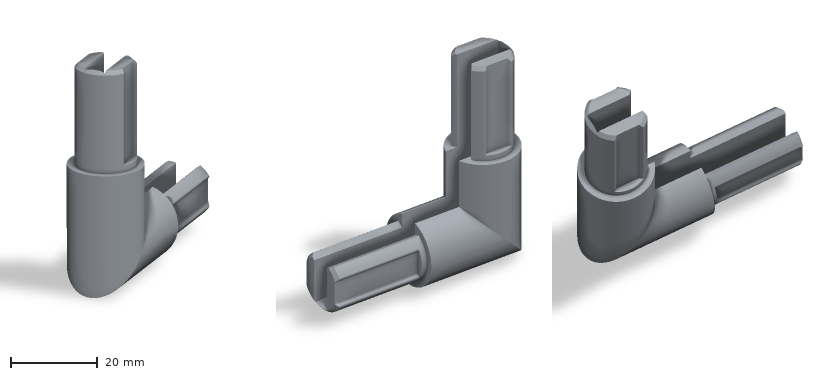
import cadquery as cq
import math

overall = 55.0
collar_diameter = 18.0
spigot_diameter = 14.6
spigot_length = 24.95
tip_chamfer = 0.9

groove_end_gap = 1.5
groove_floor = 5.55
groove_flat_half = 2.75
groove_bevel_half = 3.1
groove_bevel_rise = 0.1
groove_mouth_half = 4.0
groove_round_radius = 0.5
groove_wall_angle = 45.0

slot_width = 5.15
slot_floor = 6.3

steep_outer_x = 3.95
steep_inner_height = 4.95
shallow_outer_x = 4.05
shallow_inner_height = 5.45

collar_radius = collar_diameter / 2
spigot_radius = spigot_diameter / 2
tip = overall - collar_radius
collar_face = tip - spigot_length
margin = 2.75


def mitred_collar():
    """Collar along Z, cut off at the mitre plane z = y."""
    above_mitre = (
        cq.Workplane("YZ")
        .polyline([
            (-collar_radius, -collar_radius),
            (collar_radius, collar_radius),
            (collar_radius, collar_face),
            (-collar_radius, collar_face),
        ])
        .close()
        .extrude(collar_radius, both=True)
    )
    cylinder = (
        cq.Workplane("XY", origin=(0, 0, -collar_radius))
        .circle(collar_radius)
        .extrude(collar_face + collar_radius)
    )
    return cylinder.intersect(above_mitre)


def flank_groove(side):
    """Groove with bevelled walls and rounded lips; side is +1 or -1 along X."""
    mouth_angle = math.asin(groove_mouth_half / spigot_radius)
    wall_angle = math.radians(groove_wall_angle)
    center_distance = spigot_radius - groove_round_radius
    center_x = center_distance * math.cos(mouth_angle)
    center_y = center_distance * math.sin(mouth_angle)

    def on_round(angle):
        x = center_x + groove_round_radius * math.cos(angle)
        y = center_y + groove_round_radius * math.sin(angle)
        return x, y

    floor_edge = (groove_floor, groove_flat_half)
    bevel_edge = (groove_floor + groove_bevel_rise, groove_bevel_half)
    round_start = on_round(-wall_angle)
    round_middle = on_round((mouth_angle - wall_angle) / 2)
    mouth = on_round(mouth_angle)
    outside = (spigot_radius + margin, groove_mouth_half + margin)

    def upper(point):
        return side * point[0], point[1]

    def lower(point):
        return side * point[0], -point[1]

    return (
        cq.Workplane("XY", origin=(0, 0, collar_face + groove_end_gap))
        .moveTo(*lower(floor_edge))
        .lineTo(*upper(floor_edge))
        .lineTo(*upper(bevel_edge))
        .lineTo(*upper(round_start))
        .threePointArc(upper(round_middle), upper(mouth))
        .lineTo(*upper(outside))
        .lineTo(*lower(outside))
        .lineTo(*lower(mouth))
        .threePointArc(lower(round_middle), lower(round_start))
        .lineTo(*lower(bevel_edge))
        .close()
        .extrude(spigot_length)
    )


def slot_bevel(side, outer_x, inner_height):
    """Wedge between a slot wall and the spigot surface, above the bevel plane."""
    inner_x = slot_width / 2
    outer_height = math.sqrt(spigot_radius**2 - outer_x**2)
    slope = (outer_height - inner_height) / (outer_x - inner_x)
    top = spigot_radius + margin
    far_x = inner_x + (top - inner_height) / slope
    return (
        cq.Workplane("XY", origin=(0, 0, collar_face))
        .polyline([(0, inner_height), (side * inner_x, inner_height), (side * far_x, top), (0, top)])
        .close()
        .extrude(spigot_length + margin)
    )


def spigot():
    body = (
        cq.Workplane("XY", origin=(0, 0, collar_face))
        .circle(spigot_radius)
        .extrude(spigot_length)
        .faces(">Z")
        .chamfer(tip_chamfer)
    )
    for side in (-1, 1):
        body = body.cut(flank_groove(side))
    body = body.cut(slot_bevel(-1, steep_outer_x, steep_inner_height))
    return body.cut(slot_bevel(1, shallow_outer_x, shallow_inner_height))


def corner_slot():
    length = tip + slot_floor + margin
    return (
        cq.Workplane("XY", origin=(0, -slot_floor, -slot_floor))
        .box(slot_width, length, length, centered=(True, False, False))
    )


upright_leg = mitred_collar().union(spigot())
level_leg = upright_leg.rotate((0, 0, 0), (0, 1, 1), 180)
result = upright_leg.union(level_leg).cut(corner_slot())